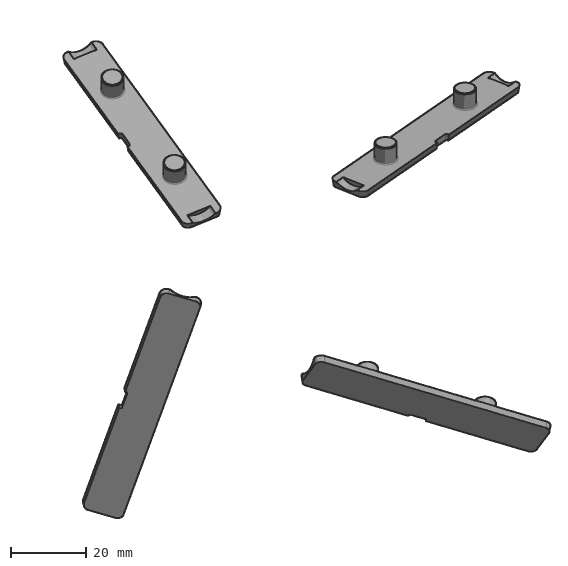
import cadquery as cq
import math

length = 69.5
width = 11.7
thickness = 2.0
corner_radius = 2.0
draft_angle = 8.0

total_height = 7.0
pin_diameter = 6.0
pin_spacing = 34.75
pin_offset_x = 0.15
pin_offset_y = 0.35
pin_edge_chamfer = 0.3
pin_root_fillet = 0.3

scoop_width = 6.95
scoop_length = 3.0
scoop_depth = 1.3

notch_width = 5.1
notch_depth = 1.0
notch_corner_radius = 0.4


def make_plate():
    """Rounded rectangle, widest at the top face and tapered inward going down."""
    return (
        cq.Workplane("XY")
        .sketch()
        .rect(length, width)
        .vertices()
        .fillet(corner_radius)
        .finalize()
        .extrude(thickness, taper=draft_angle)
        .mirror("XY")
        .translate((0, 0, thickness))
    )


def make_notch():
    """Through cutter with rounded inner corners, centred on the top -Y edge."""
    return (
        cq.Workplane("XY")
        .center(0, -width / 2)
        .rect(notch_width, 2 * notch_depth)
        .extrude(thickness)
        .edges("|Z")
        .fillet(notch_corner_radius)
    )


def make_scoop(side):
    """Cylindrical cutter along X, sunk into the top face at one end."""
    radius = ((scoop_width / 2) ** 2 + scoop_depth ** 2) / (2 * scoop_depth)
    axis_height = thickness - scoop_depth + radius
    return (
        cq.Workplane("YZ", origin=(side * length / 2, 0, axis_height))
        .circle(radius)
        .extrude(-side * scoop_length)
    )


def make_pin(x):
    """Revolved pin with a chamfered top and a concave fillet at its root."""
    radius = pin_diameter / 2
    arc_inset = pin_root_fillet * (1 - math.sqrt(0.5))
    return (
        cq.Workplane("XZ")
        .lineTo(0, total_height)
        .lineTo(radius - pin_edge_chamfer, total_height)
        .lineTo(radius, total_height - pin_edge_chamfer)
        .lineTo(radius, thickness + pin_root_fillet)
        .threePointArc(
            (radius + arc_inset, thickness + arc_inset),
            (radius + pin_root_fillet, thickness),
        )
        .lineTo(radius, thickness)
        .lineTo(radius, 0)
        .close()
        .revolve(360, (0, 0, 0), (0, 1, 0))
        .translate((x, pin_offset_y, 0))
    )


result = make_plate().cut(make_notch())
for side in (-1, 1):
    result = result.cut(make_scoop(side))
    result = result.union(make_pin(pin_offset_x + side * pin_spacing / 2))